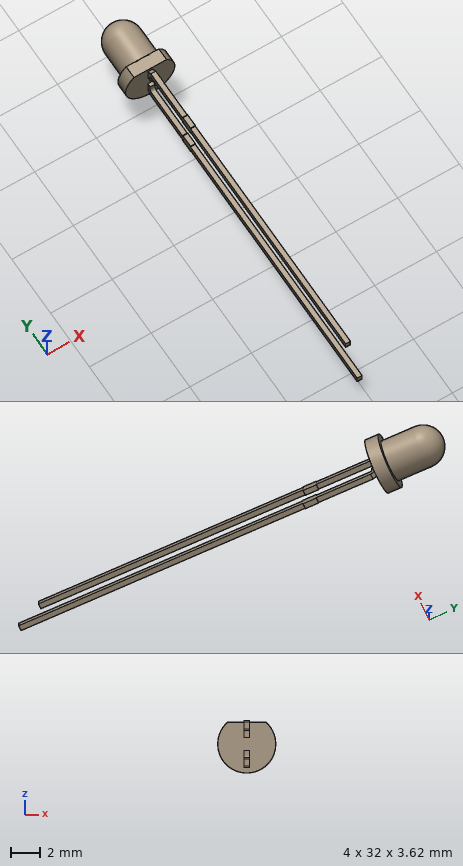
import cadquery as cq
import math

lens_radius = 1.5
flange_radius = 2.0
flange_thickness = 1.0
body_length = 5.0
flat_height = 1.5

lead_pitch = 2.54
lead_width = 0.4
lead_height = 0.5
long_lead_length = 27.0
short_lead_length = 25.5

foot_thickness = 0.3
foot_inner_height = 0.43
outer_bevel_length = 0.38
outer_bevel_drop = 0.28
inner_bend_radius = 0.2

stop_start = 4.5
stop_length = 1.0
stop_step = 0.1


def make_lens():
    """Cylinder with a hemispherical tip, revolved about the Y axis."""
    dome_base = body_length - lens_radius
    dome_mid = lens_radius * math.sqrt(0.5)
    return (
        cq.Workplane("XY")
        .lineTo(lens_radius, 0)
        .lineTo(lens_radius, dome_base)
        .threePointArc((dome_mid, dome_base + dome_mid), (0, body_length))
        .close()
        .revolve(360, (0, 0, 0), (0, 1, 0))
    )


def make_flange():
    """Disc with one flat facing +Z."""
    flat_half_width = math.sqrt(flange_radius**2 - flat_height**2)
    return (
        cq.Workplane("XZ")
        .moveTo(-flat_half_width, flat_height)
        .threePointArc((0, -flange_radius), (flat_half_width, flat_height))
        .close()
        .extrude(-flange_thickness)
    )


def make_lead(length, side):
    """Bent lead with its stop; side is +1 above the axis and -1 below it."""
    center = lead_pitch / 2
    outer = center + lead_height / 2
    inner = center - lead_height / 2
    inner_bend_mid = inner_bend_radius * (1 - math.sqrt(0.5))

    wire = (
        cq.Workplane("YZ")
        .moveTo(0, side * foot_inner_height)
        .lineTo(-foot_thickness, side * foot_inner_height)
        .lineTo(-foot_thickness, side * (inner - inner_bend_radius))
        .threePointArc(
            (-foot_thickness - inner_bend_mid, side * (inner - inner_bend_mid)),
            (-foot_thickness - inner_bend_radius, side * inner),
        )
        .lineTo(-length, side * inner)
        .lineTo(-length, side * outer)
        .lineTo(-outer_bevel_length, side * outer)
        .lineTo(0, side * (outer - outer_bevel_drop))
        .close()
        .extrude(lead_width / 2, both=True)
    )

    stop = cq.Workplane("XY").box(lead_width, stop_length, lead_height + 2 * stop_step)
    stop_center = -(stop_start + stop_length / 2)
    return wire.union(stop.translate((0, stop_center, side * center)))


body = make_lens().union(make_flange())
upper_lead = make_lead(short_lead_length, 1)
lower_lead = make_lead(long_lead_length, -1)
result = body.union(upper_lead).union(lower_lead)